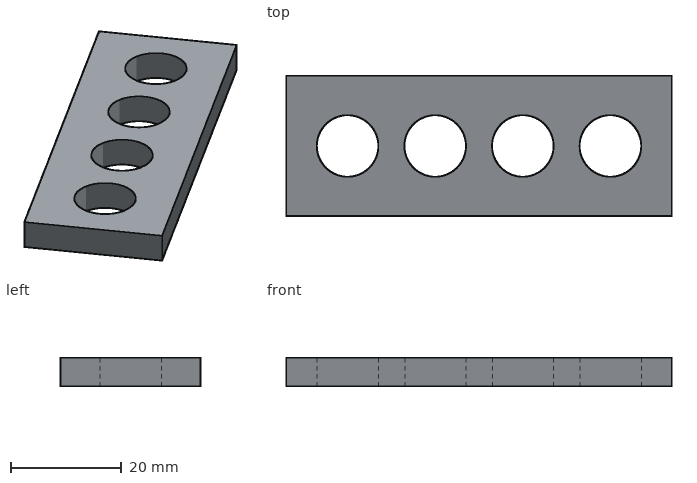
import cadquery as cq

length = 69.85
width = 25.4
thickness = 5.25

hole_count = 4
hole_diameter = 11.1
hole_pitch = 15.85

plate = cq.Workplane("XY").box(length, width, thickness)

result = (
    plate.faces(">Z")
    .workplane()
    .rarray(hole_pitch, 0.7, hole_count, 1)
    .hole(hole_diameter)
)